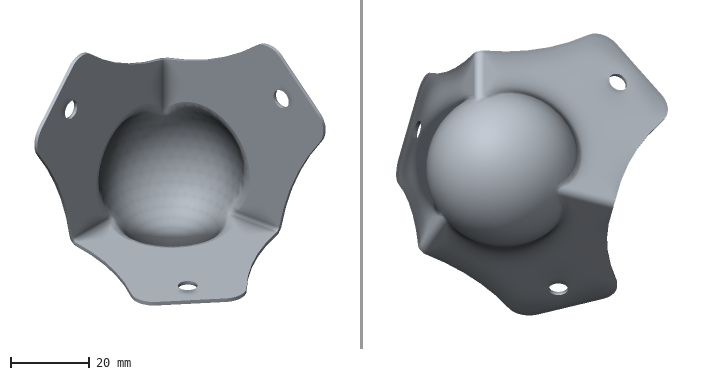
import cadquery as cq
import math


overall = 60.0
thickness = 1.0
ball_radius = 20.0
ball_depth = 13.0
bend_radius = 2.0
blend_radius = 2.0

plate_reach = overall - (ball_radius - ball_depth)
bend_edge_length = 38.2
side_arc_radius = 66.0
tip_radius = 6.0
tip_line_intercept = 90.0
hole_diameter = 5.0
hole_offset = 39.25

plate_slab = 2 * bend_radius
core_size = 0.8 * bend_edge_length
seam_tolerance = 0.0005
core_margin = ball_radius


def cube(low, high):
    """Cube spanning low..high along all three axes."""
    side = high - low
    return cq.Workplane().box(side, side, side, centered=False).translate((low, low, low))


def ball_in_corner(inset):
    """Bent corner block merged with the ball, every surface moved inward by inset."""
    block = cube(inset, overall)
    corner_edges = block.faces("<X").edges("<Y or <Z").add(block.faces("<Y").edges("<Z"))
    block = corner_edges.fillet(bend_radius - inset)

    block = block.cut(cube(0, ball_depth))
    ball = cq.Workplane().sphere(ball_radius - inset).translate((ball_depth, ball_depth, ball_depth))
    body = block.union(ball)

    centre = cq.Vector(ball_depth, ball_depth, ball_depth)

    def on_ball(edge):
        points = [edge.positionAt(0), edge.positionAt(0.5), edge.positionAt(1)]
        return all(abs((point - centre).Length - ball_radius + inset) < seam_tolerance for point in points)

    seam = [edge for edge in body.faces("not %SPHERE").edges().vals() if on_ball(edge)]
    return body.newObject(seam).fillet(blend_radius + inset)


def plate_outline():
    """Plate profile in its own plane, symmetric about the line u = v."""
    tip_v = plate_reach - tip_radius
    tip_u = tip_line_intercept - math.sqrt(2) * tip_radius - tip_v

    rise = tip_v - bend_edge_length
    span = math.hypot(tip_u, rise)
    tip_distance = side_arc_radius + tip_radius
    angle_at_bend = math.acos((side_arc_radius**2 + span**2 - tip_distance**2) / (2 * side_arc_radius * span))
    direction = math.atan2(rise, tip_u) + angle_at_bend
    side_u = side_arc_radius * math.cos(direction)
    side_v = bend_edge_length + side_arc_radius * math.sin(direction)

    def on_side(angle):
        return (side_u + side_arc_radius * math.cos(angle), side_v + side_arc_radius * math.sin(angle))

    start_angle = direction - math.pi
    end_angle = math.atan2(tip_v - side_v, tip_u - side_u)
    bend_end = (0, bend_edge_length)
    side_mid = on_side((start_angle + end_angle) / 2)
    side_end = on_side(end_angle)
    tip_top = (tip_u, plate_reach)
    diagonal = tip_radius / math.sqrt(2)
    tip_end = (tip_u + diagonal, tip_v + diagonal)

    def swap(point):
        return (point[1], point[0])

    return (
        cq.Workplane()
        .lineTo(*bend_end)
        .threePointArc(side_mid, side_end)
        .threePointArc(tip_top, tip_end)
        .lineTo(*swap(tip_end))
        .threePointArc(swap(tip_top), swap(side_end))
        .threePointArc(swap(side_mid), swap(bend_end))
        .close()
    )


def on_each_plate(solid):
    """Copies of a solid standing on the XY plate, moved to all three plates."""
    on_yz = solid.rotate((0, 0, 0), (1, 1, 1), 120)
    on_zx = solid.rotate((0, 0, 0), (1, 1, 1), 240)
    return solid.union(on_yz).union(on_zx)


shell = ball_in_corner(0).cut(ball_in_corner(thickness))

envelope = on_each_plate(plate_outline().extrude(plate_slab)).union(cube(-core_margin, core_size))
hole = cq.Workplane().center(hole_offset, hole_offset).circle(hole_diameter / 2).extrude(plate_slab)

corner = shell.intersect(envelope).cut(on_each_plate(hole))
result = corner.rotate((0, 0, 0), (0, 0, 1), -90)